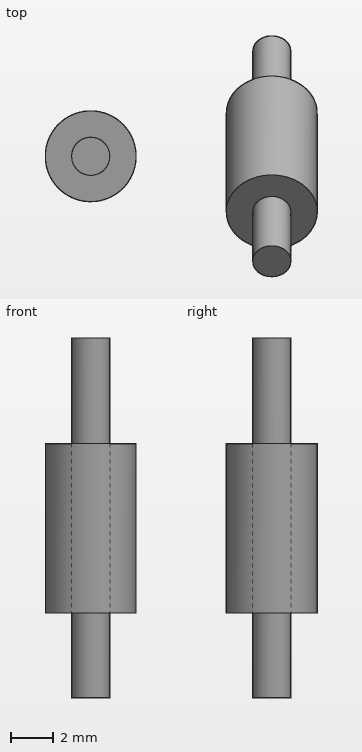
import cadquery as cq

pin_length = 17.0
pin_diameter = 1.8
sleeve_diameter = 4.3
sleeve_length = 8.0
lower_pin_length = 4.0


def make_pin():
    """Round pin standing on the XY plane, along Z."""
    return cq.Workplane("XY").circle(pin_diameter / 2).extrude(pin_length)


def make_sleeve():
    """Tube around the pin, with a bore that matches the pin."""
    return (
        cq.Workplane("XY")
        .workplane(offset=lower_pin_length)
        .circle(sleeve_diameter / 2)
        .circle(pin_diameter / 2)
        .extrude(sleeve_length)
    )


pin = make_pin()
sleeve = make_sleeve()

result = cq.Compound.makeCompound([pin.val(), sleeve.val()])